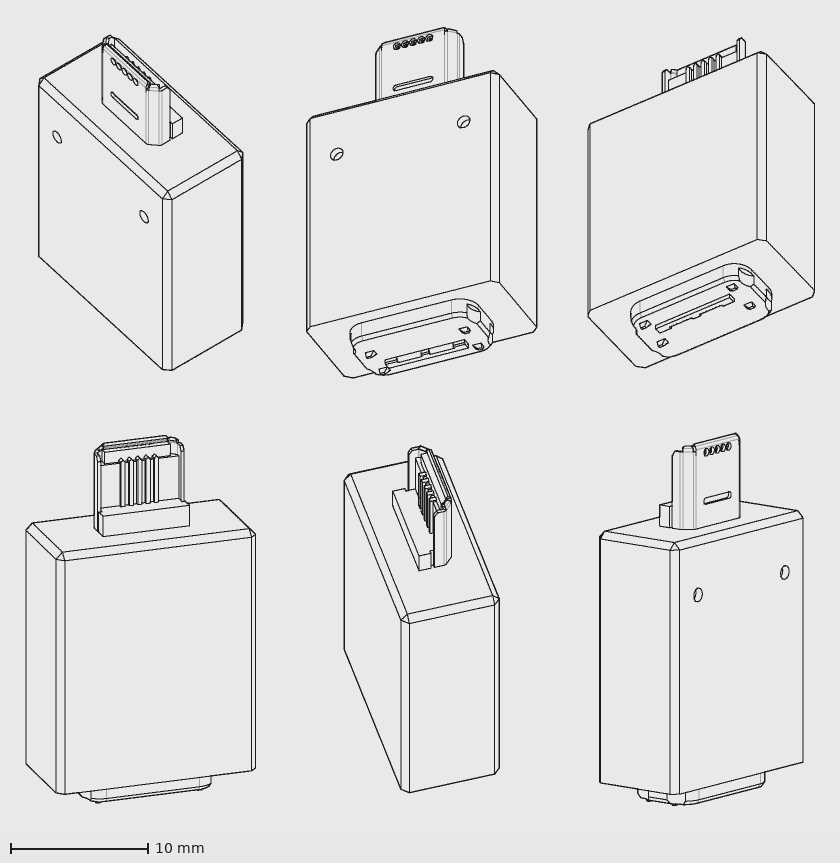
import cadquery as cq
import math

HOUSING_WIDTH = 15.5
HOUSING_DEPTH = 7.5
HOUSING_HEIGHT = 18.7
HOUSING_CHAMFER = 0.5
DIMPLE_DIAMETER = 1.0
DIMPLE_DEPTH = 0.6
DIMPLE_X = 5.1
DIMPLE_Z = 14.5

TOTAL_HEIGHT = 26.81
SOCKET_REACH = 1.81
PLUG_TOP = TOTAL_HEIGHT - SOCKET_REACH
SHEET = 0.25
SHELL_HALF_WIDTH = 3.36
SHELL_FRONT_Y = -1.52
SHELL_BACK_Y = 0.04
SHELL_BEVEL = 0.71
SHELL_BEND_RADIUS = 0.3
SHELL_TOP = 24.48
WALL_CORNER_DROP = 0.37
WALL_CORNER_RUN = 0.24

LIP_ANGLE = math.radians(45)
LIP_BEND_RADIUS = 0.34
LIP_OVERLAP = 0.3
LIP_CORNER = 0.15
FRONT_LIP_BEND_Z = 24.6
FRONT_LIP_WIDTH = 5.06
FLAP_WIDTH = 0.74

BLOCK_TOP = 20.29
BLOCK_FRONT_Y = 0.28
BLOCK_BACK_Y = 1.21
FILL_BACK_Y = -0.44
FILL_TOP = 23.6
TONGUE_HALF_WIDTH = 2.55
TONGUE_BACK_Y = -0.69
TONGUE_TOP = 24.5
CONTACT_COUNT = 5
CONTACT_PITCH = 0.65
CONTACT_WIDTH = 0.32
CONTACT_BACK_Y = -0.2
CONTACT_TOP = 23.9
HOLE_Z = 24.23
HOLE_DIAMETER = 0.56
HOLE_INNER_DIAMETER = 0.28
HOLE_INNER_DEPTH = 0.15
SLOT_LENGTH = 3.2
SLOT_HEIGHT = 0.48
SLOT_Z = 20.6

SOCKET_WIDTH = 10.2
SOCKET_DEPTH = 5.3
SOCKET_HEIGHT = 1.46
SOCKET_RADIUS = 1.5
SOCKET_CHAMFER_RUN = 0.2
SOCKET_CHAMFER_RISE = 0.3
SCOOP_TOP = -0.38
SCOOP_INNER_Y = 0.85
SCOOP_OUTER_Y = 2.22
SCOOP_RADIUS = 1.3
BLADE_WIDTH = 6.4
BLADE_FRONT_Y = 0.52
BLADE_BACK_Y = 1.17
BLADE_EDGE_CHAMFER = 0.1
BLADE_RECESS_INNER_X = 0.32
BLADE_RECESS_OUTER_X = 2.26
BLADE_RECESS_DEPTH = 0.25
PRONG_OUTER_X = 4.1
PRONG_INNER_X = 3.42
PRONG_TIP_LENGTH = 0.35
PRONG_DROP = 0.3
PRONG_Y_CENTERS = (1.7, -0.68)
PRONG_ROOT_WIDTH = 0.52
PRONG_TIP_WIDTH = 0.2


def box_between(x_range, y_range, z_range):
    """Box given by its lower and upper limits along each axis."""
    size = [high - low for low, high in (x_range, y_range, z_range)]
    corner = (x_range[0], y_range[0], z_range[0])
    return cq.Workplane("XY").box(*size, centered=False).translate(corner)


def cylinder_along_y(x, z, diameter, y_start, y_end):
    """Cylinder with its axis along Y."""
    axis = cq.Vector(0, 1, 0)
    start = cq.Vector(x, y_start, z)
    return cq.Workplane(cq.Solid.makeCylinder(diameter / 2, y_end - y_start, start, axis))


def make_housing():
    housing = cq.Workplane("XY").box(
        HOUSING_WIDTH, HOUSING_DEPTH, HOUSING_HEIGHT, centered=(True, True, False)
    )
    housing = housing.edges("|Z or >Z").chamfer(HOUSING_CHAMFER)
    front_y = -HOUSING_DEPTH / 2
    for x in (-DIMPLE_X, DIMPLE_X):
        dimple = cylinder_along_y(x, DIMPLE_Z, DIMPLE_DIAMETER, front_y, front_y + DIMPLE_DEPTH)
        housing = housing.cut(dimple)
    return housing


def channel_prism(inset, back_y, top_z):
    """Solid bounded by the shell outline, moved inward by inset, up to back_y."""
    half_width = SHELL_HALF_WIDTH - inset
    front_y = SHELL_FRONT_Y + inset
    bevel = SHELL_BEVEL - inset * (2 - math.sqrt(2))
    outline = [
        (half_width, back_y),
        (half_width, front_y + bevel),
        (half_width - bevel, front_y),
        (bevel - half_width, front_y),
        (-half_width, front_y + bevel),
        (-half_width, back_y),
    ]
    prism = (
        cq.Workplane("XY", origin=(0, 0, HOUSING_HEIGHT))
        .polyline(outline)
        .close()
        .extrude(top_z - HOUSING_HEIGHT)
    )
    return prism.edges("|Z and (not >Y)").fillet(SHELL_BEND_RADIUS - inset)


def bent_lip(outer_point, inward, width, bend_z):
    """Sheet lip that rises from the shell wall and bends inward at 45 degrees."""
    sine = math.sin(LIP_ANGLE)
    cosine = math.cos(LIP_ANGLE)
    root_z = SHELL_TOP - LIP_OVERLAP
    bend_rise = LIP_BEND_RADIUS * sine
    straight = (PLUG_TOP - FRONT_LIP_BEND_Z - bend_rise) / sine
    inner_radius = LIP_BEND_RADIUS - SHEET

    def on_bend(radius, angle):
        return (LIP_BEND_RADIUS - radius * math.cos(angle), bend_z + radius * math.sin(angle))

    outer_end = on_bend(LIP_BEND_RADIUS, LIP_ANGLE)
    inner_end = on_bend(inner_radius, LIP_ANGLE)
    run = (straight * cosine, straight * sine)
    outer_tip = (outer_end[0] + run[0], outer_end[1] + run[1])
    inner_tip = (inner_end[0] + run[0], inner_end[1] + run[1])

    along = cq.Vector(*inward).cross(cq.Vector(0, 0, 1))
    section_plane = cq.Plane(origin=outer_point, xDir=inward, normal=along.toTuple())
    lip = (
        cq.Workplane(section_plane)
        .moveTo(0, root_z)
        .lineTo(0, bend_z)
        .threePointArc(on_bend(LIP_BEND_RADIUS, LIP_ANGLE / 2), outer_end)
        .lineTo(*outer_tip)
        .lineTo(*inner_tip)
        .lineTo(*inner_end)
        .threePointArc(on_bend(inner_radius, LIP_ANGLE / 2), (SHEET, bend_z))
        .lineTo(SHEET, root_z)
        .close()
        .extrude(width / 2, both=True)
    )

    tip_z = outer_tip[1]
    half = width / 2
    trim_plane = cq.Plane(origin=outer_point, xDir=along.toTuple(), normal=(-cq.Vector(*inward)).toTuple())
    trim = (
        cq.Workplane(trim_plane)
        .moveTo(-half, root_z)
        .lineTo(half, root_z)
        .lineTo(half, tip_z - LIP_CORNER)
        .lineTo(half - LIP_CORNER, tip_z)
        .lineTo(LIP_CORNER - half, tip_z)
        .lineTo(-half, tip_z - LIP_CORNER)
        .close()
        .extrude(HOUSING_DEPTH, both=True)
    )
    return lip.intersect(trim)


def make_shell():
    outer = channel_prism(0, SHELL_BACK_Y, SHELL_TOP)
    shell = outer.cut(channel_prism(SHEET, SHELL_BACK_Y, SHELL_TOP))

    wall_corner = (
        cq.Workplane("YZ")
        .moveTo(SHELL_BACK_Y, SHELL_TOP)
        .lineTo(SHELL_BACK_Y - WALL_CORNER_RUN, SHELL_TOP)
        .lineTo(SHELL_BACK_Y, SHELL_TOP - WALL_CORNER_DROP)
        .close()
        .extrude(SHELL_HALF_WIDTH, both=True)
    )
    shell = shell.cut(wall_corner)

    shell = shell.union(bent_lip((0, SHELL_FRONT_Y, 0), (0, 1, 0), FRONT_LIP_WIDTH, FRONT_LIP_BEND_Z))
    flap_x = SHELL_HALF_WIDTH - SHELL_BEVEL / 2
    flap_y = SHELL_FRONT_Y + SHELL_BEVEL / 2
    diagonal = math.sqrt(0.5)
    for side in (-1, 1):
        inward = (-side * diagonal, diagonal, 0)
        shell = shell.union(bent_lip((side * flap_x, flap_y, 0), inward, FLAP_WIDTH, SHELL_TOP))
    return shell


def make_contact(x):
    """Contact strip along Z with a roof-shaped upper end."""
    half_width = CONTACT_WIDTH / 2
    shoulder_z = CONTACT_TOP - half_width
    return (
        cq.Workplane("XZ", origin=(x, CONTACT_BACK_Y, 0))
        .moveTo(-half_width, HOUSING_HEIGHT)
        .lineTo(half_width, HOUSING_HEIGHT)
        .lineTo(half_width, shoulder_z)
        .lineTo(0, CONTACT_TOP)
        .lineTo(-half_width, shoulder_z)
        .close()
        .extrude(CONTACT_BACK_Y - TONGUE_BACK_Y)
    )


def make_plug():
    inner_front_y = SHELL_FRONT_Y + SHEET
    plug = make_shell()
    plug = plug.union(channel_prism(SHEET, FILL_BACK_Y, FILL_TOP))
    plug = plug.union(channel_prism(SHEET, BLOCK_FRONT_Y, BLOCK_TOP))
    block = box_between(
        (-SHELL_HALF_WIDTH, SHELL_HALF_WIDTH),
        (BLOCK_FRONT_Y, BLOCK_BACK_Y),
        (HOUSING_HEIGHT, BLOCK_TOP),
    )
    tongue = box_between(
        (-TONGUE_HALF_WIDTH, TONGUE_HALF_WIDTH),
        (inner_front_y, TONGUE_BACK_Y),
        (HOUSING_HEIGHT, TONGUE_TOP),
    )
    plug = plug.union(block).union(tongue)

    slot = (
        cq.Workplane("XZ", origin=(0, inner_front_y, SLOT_Z))
        .slot2D(SLOT_LENGTH, SLOT_HEIGHT)
        .extrude(SHEET)
    )
    plug = plug.cut(slot)

    inner_hole_end_y = inner_front_y + HOLE_INNER_DEPTH
    for index in range(CONTACT_COUNT):
        x = (index - (CONTACT_COUNT - 1) / 2) * CONTACT_PITCH
        plug = plug.union(make_contact(x))
        plug = plug.cut(cylinder_along_y(x, HOLE_Z, HOLE_DIAMETER, SHELL_FRONT_Y, inner_front_y))
        plug = plug.cut(cylinder_along_y(x, HOLE_Z, HOLE_INNER_DIAMETER, inner_front_y, inner_hole_end_y))
    return plug


def socket_scoop():
    """Concave upright groove at the +X +Y corner of the socket."""
    half_width = SOCKET_WIDTH / 2
    corner_center_x = half_width - SOCKET_RADIUS
    corner_center_y = SOCKET_DEPTH / 2 - SOCKET_RADIUS
    outer_end_x = corner_center_x + math.sqrt(SOCKET_RADIUS**2 - (SCOOP_OUTER_Y - corner_center_y) ** 2)

    run_x = half_width - outer_end_x
    run_y = SCOOP_OUTER_Y - SCOOP_INNER_Y
    chord = math.hypot(run_x, run_y)
    offset = math.sqrt(SCOOP_RADIUS**2 - (chord / 2) ** 2)
    axis_x = (half_width + outer_end_x) / 2 + offset * run_y / chord
    axis_y = (SCOOP_INNER_Y + SCOOP_OUTER_Y) / 2 + offset * run_x / chord
    groove = (
        cq.Workplane("XY", origin=(axis_x, axis_y, -SOCKET_HEIGHT))
        .circle(SCOOP_RADIUS)
        .extrude(SOCKET_HEIGHT + SCOOP_TOP)
    )
    limits = box_between(
        (0, half_width), (SCOOP_INNER_Y, SCOOP_OUTER_Y), (-SOCKET_HEIGHT, SCOOP_TOP)
    )
    return groove.intersect(limits)


def make_prong(side, y_center):
    """Small pointed spring tip hanging below the socket."""
    root_z = -SOCKET_HEIGHT
    tip_z = root_z - PRONG_DROP
    along_x = (
        cq.Workplane("XZ", origin=(0, y_center, 0))
        .moveTo(side * PRONG_INNER_X, root_z)
        .lineTo(side * PRONG_OUTER_X, root_z)
        .lineTo(side * PRONG_OUTER_X, tip_z)
        .lineTo(side * (PRONG_OUTER_X - PRONG_TIP_LENGTH), tip_z)
        .close()
        .extrude(PRONG_ROOT_WIDTH, both=True)
    )
    along_y = (
        cq.Workplane("YZ", origin=(0, y_center, 0))
        .moveTo(-PRONG_ROOT_WIDTH / 2, root_z)
        .lineTo(PRONG_ROOT_WIDTH / 2, root_z)
        .lineTo(PRONG_TIP_WIDTH / 2, tip_z)
        .lineTo(-PRONG_TIP_WIDTH / 2, tip_z)
        .close()
        .extrude(SOCKET_WIDTH / 2, both=True)
    )
    return along_x.intersect(along_y)


def make_blade():
    """Contact blade hanging below the socket, with two sloped recesses in its front."""
    blade = box_between(
        (-BLADE_WIDTH / 2, BLADE_WIDTH / 2),
        (BLADE_FRONT_Y, BLADE_BACK_Y),
        (-SOCKET_REACH, -SOCKET_HEIGHT),
    )
    blade = blade.edges("<Y and <Z").chamfer(BLADE_EDGE_CHAMFER)
    recess = (
        cq.Workplane("YZ", origin=(BLADE_RECESS_INNER_X, 0, 0))
        .moveTo(BLADE_FRONT_Y, -SOCKET_HEIGHT)
        .lineTo(BLADE_FRONT_Y, -SOCKET_REACH)
        .lineTo(BLADE_FRONT_Y + BLADE_RECESS_DEPTH, -SOCKET_REACH)
        .close()
        .extrude(BLADE_RECESS_OUTER_X - BLADE_RECESS_INNER_X)
    )
    return blade.cut(recess).cut(recess.mirror("YZ"))


def make_socket():
    socket = (
        cq.Workplane("XY")
        .rect(SOCKET_WIDTH, SOCKET_DEPTH)
        .extrude(-SOCKET_HEIGHT)
        .edges("|Z")
        .fillet(SOCKET_RADIUS)
        .faces("<Z")
        .chamfer(SOCKET_CHAMFER_RISE, SOCKET_CHAMFER_RUN)
    )
    right_back = socket_scoop()
    left_back = right_back.mirror("YZ")
    for scoop in (right_back, left_back):
        socket = socket.cut(scoop).cut(scoop.mirror("XZ"))
    socket = socket.union(make_blade())
    for side in (-1, 1):
        for y_center in PRONG_Y_CENTERS:
            socket = socket.union(make_prong(side, y_center))
    return socket


result = make_housing().union(make_plug()).union(make_socket())